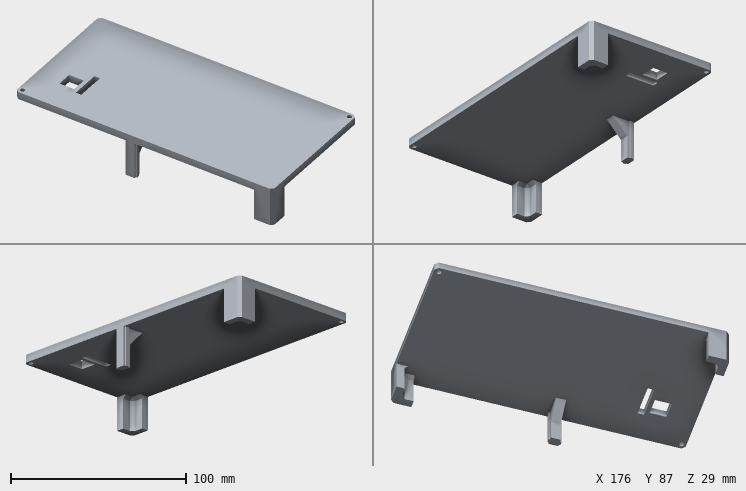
import cadquery as cq

length = 176.0
width = 87.0
plate_thickness = 5.0
corner_chamfer = 2.0
hole_diameter = 3.0
hole_inset = 3.0

square_side = 10.0
square_x = 17.0
square_y = 19.9
slot_width = 3.9
slot_length = 19.4
slot_x = 29.7
slot_y = 17.6

leg_span_x = 12.7
leg_span_y = 12.1
leg_wall_x = 5.0
leg_wall_y = 4.5
leg_bottom = 25.5
inner_chamfer = 2.1

post_bottom = 29.0
post_width = 6.0
post_depth = 5.0
post_center_x = -9.5
tongue_reach = 0.9
tongue_start = 1.0
tongue_thickness = 2.3
gusset_size = 10.0

left = -length / 2
front = -width / 2


def block(x, y, z, size_x, size_y, size_z):
    """Box placed by its lowest corner."""
    return cq.Workplane("XY").box(size_x, size_y, size_z, centered=False).translate((x, y, z))


def make_corner_leg():
    """L-shaped leg under the +X, -Y corner, chamfered along its inner edges."""
    right = length / 2
    leg = block(right - leg_span_x, front, -leg_bottom, leg_span_x, leg_span_y, leg_bottom)
    room_height = leg_bottom - plate_thickness
    room_x = leg_span_x - leg_wall_x + 2 * inner_chamfer
    room_y = leg_span_y - leg_wall_y + 2 * inner_chamfer
    room = block(
        right - leg_wall_x - room_x, front + leg_wall_y, -leg_bottom - 2 * inner_chamfer,
        room_x, room_y, room_height + 2 * inner_chamfer,
    )
    room = room.edges("(>X and <Y) or (>X and >Z) or (<Y and >Z)").chamfer(inner_chamfer)
    return leg.cut(room)


def make_post():
    """Middle leg with a tongue along both sides and a gusset behind it."""
    post_left = post_center_x - post_width / 2
    post = block(post_left, front, -post_bottom, post_width, post_depth, post_bottom)
    tongue = block(
        post_left - tongue_reach, front + tongue_start, -post_bottom,
        post_width + 2 * tongue_reach, tongue_thickness, post_bottom,
    )
    back = front + post_depth
    gusset = (
        cq.Workplane("YZ", origin=(post_left, 0, 0))
        .moveTo(back, -plate_thickness)
        .lineTo(back + gusset_size, -plate_thickness)
        .lineTo(back, -plate_thickness - gusset_size)
        .close()
        .extrude(post_width)
    )
    return post.union(tongue).union(gusset)


plate = block(left, front, -plate_thickness, length, width, plate_thickness)
corner_leg = make_corner_leg()
opposite_leg = corner_leg.rotate((0, 0, 0), (0, 0, 1), 180)
body = plate.union(corner_leg).union(opposite_leg)

outer_corners = (
    cq.Workplane("XY").box(length, width, post_bottom).edges("|Z").chamfer(corner_chamfer)
    .translate((0, 0, -post_bottom / 2))
)
body = body.intersect(outer_corners).union(make_post())

square = block(left + square_x, front + square_y, -plate_thickness, square_side, square_side, plate_thickness)
slot = block(left + slot_x, front + slot_y, -plate_thickness, slot_width, slot_length, plate_thickness)
hole_x = length / 2 - hole_inset
hole_y = width / 2 - hole_inset
holes = (
    cq.Workplane("XY")
    .pushPoints([(-hole_x, -hole_y), (hole_x, hole_y)])
    .circle(hole_diameter / 2)
    .extrude(-plate_thickness)
)
result = body.cut(square).cut(slot).cut(holes)